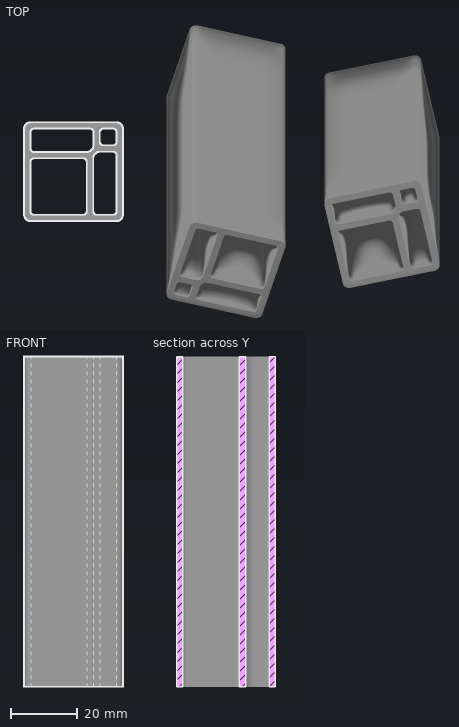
import cadquery as cq

side = 30.0
length = 100.0
wall = 2.0
outer_radius = 2.0
channel_radius = 1.0
junction_radius = 2.0

large_channel = 17.0
small_channel = 5.0
narrow_width = side - 3 * wall - large_channel
narrow_length = side - 3 * wall - small_channel

low_edge = -side / 2 + wall
high_edge = side / 2 - wall


def channel(x_min, y_min, x_size, y_size, junction_corner=None):
    """Full-length rounded channel; junction_corner (x, y) gets the larger corner radius."""
    opening = (
        cq.Workplane("XY")
        .box(x_size, y_size, length, centered=False)
        .translate((x_min, y_min, 0))
    )
    for x in (x_min, x_min + x_size):
        for y in (y_min, y_min + y_size):
            radius = junction_radius if (x, y) == junction_corner else channel_radius
            corner_edge = cq.selectors.NearestToPointSelector((x, y, length / 2))
            opening = opening.edges(corner_edge).fillet(radius)
    return opening


tube = (
    cq.Workplane("XY")
    .box(side, side, length, centered=(True, True, False))
    .edges("|Z")
    .fillet(outer_radius)
)

narrow_start = high_edge - narrow_width
narrow_end = low_edge + narrow_length
small_start = high_edge - small_channel

channels = [
    channel(low_edge, low_edge, large_channel, large_channel),
    channel(small_start, small_start, small_channel, small_channel),
    channel(low_edge, narrow_start, narrow_length, narrow_width, (narrow_end, narrow_start)),
    channel(narrow_start, low_edge, narrow_width, narrow_length, (narrow_start, narrow_end)),
]

result = tube
for opening in channels:
    result = result.cut(opening)